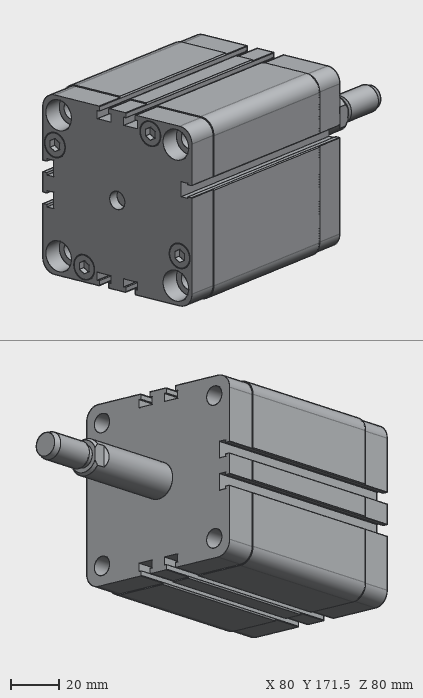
import cadquery as cq
import math


tube_width = 80.0
tube_corner_radius = 7.0
cap_inset = 0.5
body_length = 100.0
cap_length = 14.25
tube_length = body_length - 2 * cap_length

slot_spacing = 14.0
slot_depth = 6.25
slot_lip = 2.75
slot_opening = 5.0
slot_inner_width = 7.2
slot_edge_chamfer_width = 0.3
slot_edge_chamfer_depth = 0.8
single_slot_height = 12.0
single_slot_opening = 5.4
single_slot_inner_width = 6.6

mount_spacing = 62.0
mount_hole_diameter = 8.38
mount_bore_diameter = 13.5
mount_bore_depth = 9.0

center_hole_diameter = 8.0
center_hole_depth = 5.0

screw_long_offset = 33.0
screw_short_offset = 17.5
screw_bore_diameter = 11.1
screw_head_diameter = 10.5
screw_head_height = 6.0
screw_hex_flats = 5.0
screw_hex_depth = 3.0

overall_length = 171.5
rod_diameter = 16.0
shoulder_diameter = 14.0
shoulder_chamfer_length = 1.6
stud_length = 24.0
stud_diameter = 12.0
tip_diameter = 10.2
tip_chamfer_length = 2.8
relief_diameter = 10.0
relief_length = 3.0
relief_taper_length = 0.6
flat_width = 13.0
flat_length = 5.7


def cylinder(x, z, diameter, start, end):
    """Cylinder parallel to Y between y = start and y = end."""
    height = end - start
    return cq.Workplane("XZ", origin=(x, start, z)).circle(diameter / 2).extrude(-height)


def rounded_block(width, corner_radius, start, length):
    """Square block along Y with rounded long edges."""
    block = cq.Workplane("XZ", origin=(0, start, 0)).rect(width, width).extrude(-length)
    return block.edges("|Y").fillet(corner_radius)


def t_slot(offset, opening, inner_width, angle):
    """Cutter for a slot in the +Z side at x = offset, turned about Y by angle."""
    top = tube_width / 2
    lip_bottom = top - slot_lip
    floor = top - slot_depth
    half_opening = opening / 2
    half_inner = inner_width / 2
    half_mouth = half_opening + slot_edge_chamfer_width
    right_side = [
        (half_mouth, top),
        (half_opening, top - slot_edge_chamfer_depth),
        (half_opening, lip_bottom),
        (half_inner, lip_bottom),
        (half_inner, floor),
    ]
    left_side = [(-x, z) for x, z in reversed(right_side)]
    points = [(x + offset, z) for x, z in right_side + left_side]
    cutter = cq.Workplane("XZ").polyline(points).close().extrude(-body_length)
    return cutter.rotate((0, 0, 0), (0, 1, 0), angle)


def make_body():
    """Plain tube with its two end caps."""
    cap_width = tube_width - 2 * cap_inset
    cap_corner_radius = tube_corner_radius - cap_inset
    body = rounded_block(tube_width, tube_corner_radius, cap_length, tube_length)
    for start in (0, body_length - cap_length):
        body = body.union(rounded_block(cap_width, cap_corner_radius, start, cap_length))
    return body


def cut_slots(body):
    """Two slots each in the +Z, -Z and -X sides, one in the +X side."""
    for angle in (0, 180, 270):
        for offset in (-slot_spacing / 2, slot_spacing / 2):
            body = body.cut(t_slot(offset, slot_opening, slot_inner_width, angle))
    return body.cut(t_slot(-single_slot_height, single_slot_opening, single_slot_inner_width, 90))


def cut_mounting_holes(body):
    half = mount_spacing / 2
    for x in (-half, half):
        for z in (-half, half):
            body = body.cut(cylinder(x, z, mount_hole_diameter, 0, body_length))
            body = body.cut(cylinder(x, z, mount_bore_diameter, 0, mount_bore_depth))
    return body


def cut_screws(body):
    """Ring gaps and hexagon sockets that shape the four screw heads."""
    long, short = screw_long_offset, screw_short_offset
    hex_corners = screw_hex_flats / math.cos(math.pi / 6)
    for x, z in ((short, long), (long, -short), (-short, -long), (-long, short)):
        gap = cylinder(x, z, screw_bore_diameter, 0, screw_head_height)
        gap = gap.cut(cylinder(x, z, screw_head_diameter, 0, screw_head_height))
        socket = cq.Workplane("XZ").polygon(6, hex_corners).extrude(-screw_hex_depth)
        socket = socket.rotate((0, 0, 0), (0, 1, 0), 90).translate((x, 0, z))
        body = body.cut(gap).cut(socket)
    return body


def make_rod():
    """Rod, chamfered shoulder, relief groove and threaded stud without the thread."""
    shoulder = overall_length - stud_length
    relief_end = shoulder + relief_length
    profile = [
        (0, body_length - cap_length),
        (rod_diameter / 2, body_length - cap_length),
        (rod_diameter / 2, shoulder - shoulder_chamfer_length),
        (shoulder_diameter / 2, shoulder),
        (relief_diameter / 2, shoulder),
        (relief_diameter / 2, relief_end - relief_taper_length),
        (stud_diameter / 2, relief_end),
        (stud_diameter / 2, overall_length - tip_chamfer_length),
        (tip_diameter / 2, overall_length),
        (0, overall_length),
    ]
    rod = cq.Workplane("XY").polyline(profile).close().revolve(360, (0, 0, 0), (0, 1, 0))
    return cut_wrench_flats(rod, shoulder)


def cut_wrench_flats(rod, shoulder):
    """Two flats across X that run out of the rod at 45 degrees."""
    inner = flat_width / 2
    outer = rod_diameter / 2
    flat_end = shoulder - flat_length
    section = [
        (inner, shoulder),
        (inner, flat_end),
        (outer, flat_end - (outer - inner)),
        (outer, shoulder),
    ]
    flat = cq.Workplane("XY").polyline(section).close().extrude(rod_diameter / 2, both=True)
    return rod.cut(flat).cut(flat.mirror("YZ"))


body = cut_slots(make_body())
body = cut_mounting_holes(body)
body = cut_screws(body)
body = body.cut(cylinder(0, 0, center_hole_diameter, 0, center_hole_depth))
result = body.union(make_rod())